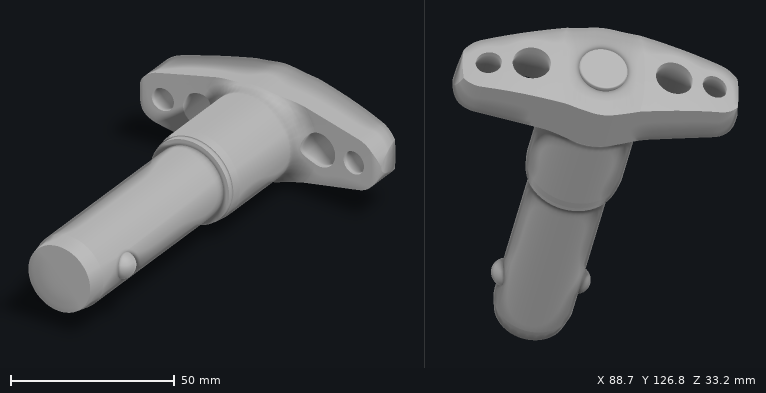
import cadquery as cq
import math


shank_radius = 12.5
overall_length = 126.8
grip_length = 72.0
tip_length = 5.6
tip_radius = 11.4
ball_radius = 4.4
ball_reach = 15.5
ball_y = -54.0

collar_radius = 15.2
nose_radius = 14.5
nose_length = 1.9
collar_taper_radius = 14.85
collar_taper_length = 3.0
fillet_start_y = 32.95
fillet_radius = 5.8

handle_length = 88.7
handle_width = 33.21
hub_radius = handle_width / 2
end_radius = 9.15
end_center_x = handle_length / 2 - end_radius
outer_hole_radius = 3.93
inner_hole_radius = 5.85
inner_hole_x = 22.2

button_top_y = overall_length - grip_length
button_height = 0.45
dip_depth = 1.3
end_drop = 5.05
underside_y = fillet_start_y + fillet_radius
underside_flat_x = collar_radius + fillet_radius
underside_end_y = 37.4
end_corner_radius = 2.1
end_corner_y = underside_end_y + end_corner_radius
top_corner_x = 43.0
crest_y = button_top_y - button_height
top_corner_y = crest_y - end_drop
crest_x = 12.0
crest_arc_radius = 110.0
dip_y = crest_y - dip_depth
dip_half_width = 13.0

button_radius = 7.5
button_edge_fillet = 0.5


def make_outline_prism():
    """Lens-shaped handle outline in XZ, extruded through the handle depth."""
    tilt = math.asin((hub_radius - end_radius) / end_center_x)
    hub_x = hub_radius * math.sin(tilt)
    hub_z = hub_radius * math.cos(tilt)
    end_x = end_center_x + end_radius * math.sin(tilt)
    end_z = end_radius * math.cos(tilt)
    tip_x = handle_length / 2
    return (
        cq.Workplane("XZ", origin=(0, button_top_y, 0))
        .moveTo(-hub_x, hub_z)
        .threePointArc((0, hub_radius), (hub_x, hub_z))
        .lineTo(end_x, end_z)
        .threePointArc((tip_x, 0), (end_x, -end_z))
        .lineTo(hub_x, -hub_z)
        .threePointArc((0, -hub_radius), (-hub_x, -hub_z))
        .lineTo(-end_x, -end_z)
        .threePointArc((-tip_x, 0), (-end_x, end_z))
        .close()
        .extrude(button_top_y - fillet_start_y)
    )


def make_handle_disc():
    """Domed disc with conical underside and rim, revolved about the pin axis."""
    rim_radius = handle_length / 2
    corner_radius = rim_radius - end_corner_radius
    corner_offset = end_corner_radius * math.sqrt(0.5)
    crest_chord_mid_x = (crest_x + top_corner_x) / 2
    crest_chord_mid_y = (crest_y + top_corner_y) / 2
    crest_drop = crest_y - top_corner_y
    crest_run = top_corner_x - crest_x
    crest_chord = math.hypot(crest_run, crest_drop)
    bulge = crest_arc_radius - math.sqrt(crest_arc_radius**2 - (crest_chord / 2) ** 2)
    crest_mid_point = (
        crest_chord_mid_x + bulge * crest_drop / crest_chord,
        crest_chord_mid_y + bulge * crest_run / crest_chord,
    )
    return (
        cq.Workplane("XY")
        .moveTo(0, underside_y)
        .lineTo(underside_flat_x, underside_y)
        .lineTo(corner_radius, underside_end_y)
        .threePointArc(
            (corner_radius + corner_offset, end_corner_y - corner_offset),
            (rim_radius, end_corner_y),
        )
        .lineTo(top_corner_x, top_corner_y)
        .threePointArc(crest_mid_point, (crest_x, crest_y))
        .lineTo(0, crest_y)
        .close()
        .revolve(axisStart=(0, 0, 0), axisEnd=(0, 1, 0))
    )


def make_dip():
    """Shallow valley across the middle of the handle top, running along Z."""
    return (
        cq.Workplane("XY")
        .moveTo(-dip_half_width, crest_y)
        .threePointArc((0, dip_y), (dip_half_width, crest_y))
        .lineTo(dip_half_width, button_top_y)
        .lineTo(-dip_half_width, button_top_y)
        .close()
        .extrude(hub_radius, both=True)
    )


def make_fillet_flare():
    """Concave flare that blends the collar into the underside of the handle."""
    mid_offset = fillet_radius * math.sqrt(0.5)
    return (
        cq.Workplane("XY")
        .moveTo(0, fillet_start_y)
        .lineTo(collar_radius, fillet_start_y)
        .threePointArc(
            (underside_flat_x - mid_offset, fillet_start_y + mid_offset),
            (underside_flat_x, underside_y),
        )
        .lineTo(0, underside_y)
        .close()
        .revolve(axisStart=(0, 0, 0), axisEnd=(0, 1, 0))
    )


def make_handle():
    blank = make_handle_disc().union(make_fillet_flare())
    handle = blank.intersect(make_outline_prism()).cut(make_dip())
    for hole_x, hole_radius in (
        (inner_hole_x, inner_hole_radius),
        (end_center_x, outer_hole_radius),
    ):
        holes = (
            cq.Workplane("XZ", origin=(0, button_top_y, 0))
            .pushPoints([(-hole_x, 0), (hole_x, 0)])
            .circle(hole_radius)
            .extrude(button_top_y - fillet_start_y)
        )
        handle = handle.cut(holes)
    return handle


def make_stem():
    """Shank with tapered tip, shoulder nose and collar, as one revolved body."""
    taper_end_y = nose_length + collar_taper_length
    return (
        cq.Workplane("XY")
        .moveTo(0, -grip_length)
        .lineTo(tip_radius, -grip_length)
        .lineTo(shank_radius, tip_length - grip_length)
        .lineTo(shank_radius, 0)
        .lineTo(nose_radius, 0)
        .lineTo(nose_radius, nose_length)
        .lineTo(collar_taper_radius, nose_length)
        .lineTo(collar_radius, taper_end_y)
        .lineTo(collar_radius, fillet_start_y)
        .lineTo(0, fillet_start_y)
        .close()
        .revolve(axisStart=(0, 0, 0), axisEnd=(0, 1, 0))
    )


def make_button():
    """Round release button with a softened edge, standing slightly proud of the handle top."""
    return (
        cq.Workplane("XZ", origin=(0, button_top_y, 0))
        .circle(button_radius)
        .extrude(button_top_y - underside_y)
        .faces(">Y")
        .edges()
        .fillet(button_edge_fillet)
    )


def make_balls():
    ball_x = ball_reach - ball_radius
    return (
        cq.Workplane("XY")
        .pushPoints([(-ball_x, ball_y), (ball_x, ball_y)])
        .sphere(ball_radius)
    )


result = make_stem().union(make_handle()).union(make_button()).union(make_balls())